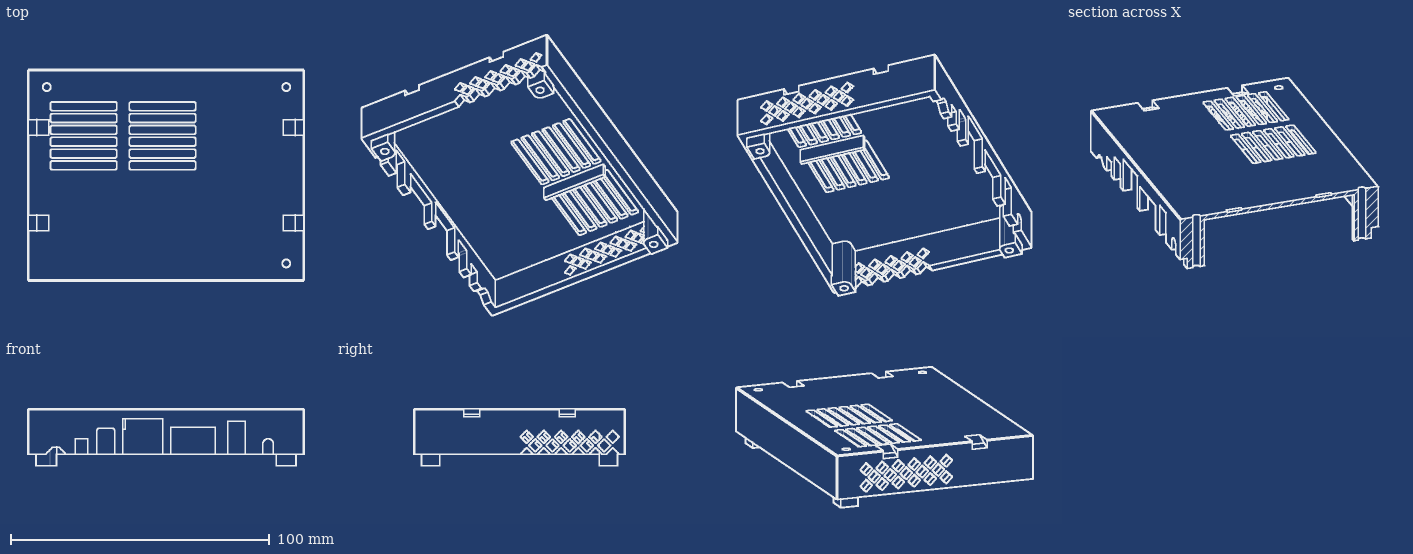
import cadquery as cq
LENGTH = 106.85
WIDTH = 81.85
TOTAL_HEIGHT = 22.07
SHELL_BOTTOM = 4.4
WALL = 3.4
PLATE = 2.2
EDGE_CHAMFER = 0.425
INNER_LENGTH = LENGTH - 2 * WALL
INNER_WIDTH = WIDTH - 2 * WALL
PLATE_BOTTOM = TOTAL_HEIGHT - PLATE
CUT_MARGIN = 1.0

POST_X_OUTER = 50.3
LEFT_POST_X_INNER = 42.3
RIGHT_POST_X_INNER = 42.6
POST_Y_OUTER = 37.95
POST_Y_INNER = 30.75
POST_CORNER_RADIUS = 2.7
SCREW_DIAMETER = 3.0
LEFT_SCREW_X = 46.1
RIGHT_SCREW_X = 46.5
SCREW_Y = 34.1
POST_SIDES = [(-1, 1), (1, -1), (1, 1)]

SLOT_LENGTH = 25.6
SLOT_WIDTH = 3.3
SLOT_PITCH = 4.57
SLOT_RADIUS = 0.7
SLOT_ROWS = 6
SLOT_COLUMN_PITCH = 30.5
SLOT_FIELD_X = -16.6
SLOT_FIELD_Y = 15.25
RIB_THICKNESS = 1.6
RIB_BOTTOM = 14.05
RIB_LENGTH = (SLOT_ROWS - 1) * SLOT_PITCH + SLOT_WIDTH

DIAMOND_SIDE = 3.5
DIAMOND_PITCH = 6.66
DIAMOND_COLUMNS = 6
LEFT_GRILLE_Y = 11.95
LEFT_GRILLE_Z = 12.05
RIGHT_GRILLE_Y = 19.4
RIGHT_GRILLE_Z = 7.85

NOTCH_LENGTH = 8.0
NOTCH_DEPTH = 3.2
NOTCH_WIDTH = 6.1
NOTCH_Y = 18.5

SQUARE_OPENINGS = [
    (-32.7, 4.8, 10.45),
    (-9.0, 15.3, 18.1),
    (10.4, 17.3, 14.9),
    (27.3, 6.8, 17.3),
]
ROUNDED_OPENING = (-23.3, 6.8, 14.45)
ROUNDED_OPENING_RADIUS = 0.75
ARCH_X = 39.5
ARCH_WIDTH = 4.1
ARCH_TOP = 10.45
ARCH_RADIUS = 2.0
JACK_X = -42.6
JACK_TOP = 7.25
JACK_TOP_WIDTH = 2.4


def box_between(x_start, x_end, y_start, y_end, z_start, z_end):
    """Axis-aligned box given by its limits."""
    size = (x_end - x_start, y_end - y_start, z_end - z_start)
    return cq.Workplane("XY").box(*size, centered=False).translate((x_start, y_start, z_start))


def make_shell():
    """Chamfered lid with a hollow that opens downwards."""
    outer = (
        cq.Workplane("XY")
        .workplane(offset=SHELL_BOTTOM)
        .rect(LENGTH, WIDTH)
        .extrude(TOTAL_HEIGHT - SHELL_BOTTOM)
        .edges("|Z or >Z")
        .chamfer(EDGE_CHAMFER)
    )
    hollow = (
        cq.Workplane("XY")
        .rect(INNER_LENGTH, INNER_WIDTH)
        .extrude(PLATE_BOTTOM)
    )
    return outer.cut(hollow)


def make_post(x_side, y_side):
    """Corner post whose corner nearest the middle of the lid is rounded."""
    x_inner = LEFT_POST_X_INNER if x_side < 0 else RIGHT_POST_X_INNER
    x_limits = sorted((x_side * x_inner, x_side * POST_X_OUTER))
    y_limits = sorted((y_side * POST_Y_INNER, y_side * POST_Y_OUTER))
    post = box_between(*x_limits, *y_limits, 0, PLATE_BOTTOM)
    inward_x = "<X" if x_side > 0 else ">X"
    inward_y = "<Y" if y_side > 0 else ">Y"
    return post.edges(f"|Z and {inward_x} and {inward_y}").fillet(POST_CORNER_RADIUS)


def make_screw_hole(x_side, y_side):
    """Screw hole through a post and the plate above it."""
    screw_x = LEFT_SCREW_X if x_side < 0 else RIGHT_SCREW_X
    return (
        cq.Workplane("XY")
        .center(x_side * screw_x, y_side * SCREW_Y)
        .circle(SCREW_DIAMETER / 2)
        .extrude(TOTAL_HEIGHT)
    )


def make_rib():
    """Rib under the plate, between the two columns of slots."""
    return box_between(
        SLOT_FIELD_X - RIB_THICKNESS / 2,
        SLOT_FIELD_X + RIB_THICKNESS / 2,
        SLOT_FIELD_Y - RIB_LENGTH / 2,
        SLOT_FIELD_Y + RIB_LENGTH / 2,
        RIB_BOTTOM,
        PLATE_BOTTOM,
    )


def make_slots():
    """Two columns of ventilation slots with rounded corners."""
    return (
        cq.Workplane("XY")
        .workplane(offset=PLATE_BOTTOM)
        .center(SLOT_FIELD_X, SLOT_FIELD_Y)
        .rarray(SLOT_COLUMN_PITCH, SLOT_PITCH, 2, SLOT_ROWS)
        .rect(SLOT_LENGTH, SLOT_WIDTH)
        .extrude(PLATE)
        .edges("|Z")
        .fillet(SLOT_RADIUS)
    )


def make_grille(wall_start, centre_y, centre_z):
    """Three staggered rows of diamonds, cut along X through one end wall."""
    centres = []
    for row in (-1, 0, 1):
        columns = DIAMOND_COLUMNS - 1 if row == 0 else DIAMOND_COLUMNS
        for column in range(columns):
            y = centre_y + (column - (columns - 1) / 2) * DIAMOND_PITCH
            z = centre_z + row * DIAMOND_PITCH / 2
            centres.append((y, z))
    diamond = (
        cq.Workplane("YZ")
        .workplane(offset=wall_start)
        .rect(DIAMOND_SIDE, DIAMOND_SIDE)
        .extrude(WALL)
        .rotate((0, 0, 0), (1, 0, 0), 45)
    )
    cutters = cq.Workplane("XY")
    for y, z in centres:
        cutters = cutters.add(diamond.translate((0, y, z)))
    return cutters.combine()


def make_notch(x_side, centre_y):
    """Wedge that slopes from the top face down to the end wall."""
    outer_x = x_side * LENGTH / 2
    return (
        cq.Workplane("XZ", origin=(0, centre_y + NOTCH_WIDTH / 2, 0))
        .moveTo(outer_x - x_side * NOTCH_LENGTH, TOTAL_HEIGHT)
        .lineTo(outer_x, TOTAL_HEIGHT - NOTCH_DEPTH)
        .lineTo(outer_x, TOTAL_HEIGHT)
        .close()
        .extrude(NOTCH_WIDTH)
    )


def make_front_opening(centre_x, width, top):
    """Rectangular opening in the front wall, open at the bottom edge."""
    return box_between(
        centre_x - width / 2,
        centre_x + width / 2,
        -WIDTH / 2,
        -WIDTH / 2 + WALL,
        SHELL_BOTTOM - CUT_MARGIN,
        top,
    )


def make_jack_opening():
    """Trapezoid with 45 degree sides at the lower edge of the front wall."""
    half_top = JACK_TOP_WIDTH / 2
    half_bottom = half_top + JACK_TOP - SHELL_BOTTOM
    return (
        cq.Workplane("XZ", origin=(JACK_X, -WIDTH / 2 + WALL, 0))
        .moveTo(-half_bottom, SHELL_BOTTOM)
        .lineTo(-half_top, JACK_TOP)
        .lineTo(half_top, JACK_TOP)
        .lineTo(half_bottom, SHELL_BOTTOM)
        .close()
        .extrude(WALL)
    )


def make_front_openings():
    """All connector openings of the front wall."""
    arch = make_front_opening(ARCH_X, ARCH_WIDTH, ARCH_TOP)
    arch = arch.edges("|Y and >Z").fillet(ARCH_RADIUS)
    rounded = make_front_opening(*ROUNDED_OPENING)
    rounded = rounded.edges("|Y and >Z").fillet(ROUNDED_OPENING_RADIUS)
    openings = make_jack_opening().union(arch).union(rounded)
    for opening in SQUARE_OPENINGS:
        openings = openings.union(make_front_opening(*opening))
    return openings


shell = make_shell()
shell = shell.cut(make_front_openings())
shell = shell.cut(make_grille(-LENGTH / 2, LEFT_GRILLE_Y, LEFT_GRILLE_Z))
shell = shell.cut(make_grille(LENGTH / 2 - WALL, RIGHT_GRILLE_Y, RIGHT_GRILLE_Z))
shell = shell.union(make_rib())
for post_side in POST_SIDES:
    shell = shell.union(make_post(*post_side))
    shell = shell.cut(make_screw_hole(*post_side))
shell = shell.cut(make_slots())
for x_side in (-1, 1):
    for y_side in (-1, 1):
        shell = shell.cut(make_notch(x_side, y_side * NOTCH_Y))
result = shell